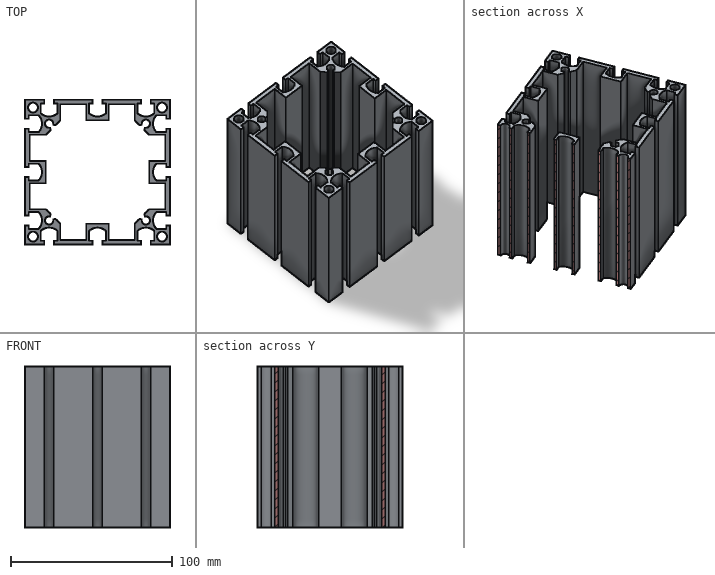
import cadquery as cq
import math

SIDE = 90.0
LENGTH = 100.0
HALF = SIDE / 2

SLOT_PITCH = 30.0
SLOT_OPENING = 6.0
SLOT_WIDTH = 10.3
LIP_THICKNESS = 2.5
SLOT_WALL_DEPTH = 8.5
SLOT_DEPTH = 10.5

SLOT_SIDE_WALL = 1.85
OUTER_WALL = 3.0
CORE_INSET = 13.0

CORNER_BORE_DIAMETER = 6.0
CORNER_BORE_INSET = 5.0
CHANNEL_DIAMETER = 5.0
CHANNEL_INSET = HALF - SLOT_PITCH
CHANNEL_MOUTH_ANGLE = 60.0

CORNER_DIAGONAL_ANGLE = 45.0
SIDE_ANGLES = (0, 90, 180, 270)
SLOT_CENTRES = (-SLOT_PITCH, 0.0, SLOT_PITCH)


def slot_cutter(x_centre):
    """T-slot in the +Y side: narrow mouth, wide chamber and arched floor."""
    mouth = SLOT_OPENING / 2
    chamber = SLOT_WIDTH / 2
    lip_y = HALF - LIP_THICKNESS
    wall_end_y = HALF - SLOT_WALL_DEPTH
    return (
        cq.Workplane("XY")
        .moveTo(x_centre - mouth, HALF)
        .lineTo(x_centre - mouth, lip_y)
        .lineTo(x_centre - chamber, lip_y)
        .lineTo(x_centre - chamber, wall_end_y)
        .threePointArc((x_centre, HALF - SLOT_DEPTH), (x_centre + chamber, wall_end_y))
        .lineTo(x_centre + chamber, lip_y)
        .lineTo(x_centre + mouth, lip_y)
        .lineTo(x_centre + mouth, HALF)
        .close()
        .extrude(LENGTH)
    )


def core_cutter():
    """Central square cavity, bevelled where it meets the corner webs."""
    core_half = HALF - CORE_INSET
    pocket_end = SLOT_PITCH - SLOT_WIDTH / 2 - SLOT_SIDE_WALL
    return (
        cq.Workplane("XY")
        .rect(2 * core_half, 2 * core_half)
        .extrude(LENGTH)
        .edges("|Z")
        .chamfer(core_half - pocket_end)
    )


def pocket_cutter(direction):
    """Cavity pocket behind the +Y wall, between the middle and an outer slot."""
    width = SLOT_PITCH - SLOT_WIDTH - 2 * SLOT_SIDE_WALL
    depth = HALF - OUTER_WALL
    return (
        cq.Workplane("XY")
        .center(direction * SLOT_PITCH / 2, depth / 2)
        .rect(width, depth)
        .extrude(LENGTH)
    )


def bore_cutter(diameter, inset):
    """Round bore on the diagonal of the +X +Y corner."""
    return (
        cq.Workplane("XY")
        .center(HALF - inset, HALF - inset)
        .circle(diameter / 2)
        .extrude(LENGTH)
    )


def channel_mouth_cutter():
    """Wedge from the channel axis, opening along the diagonal into the cavity."""
    reach = CHANNEL_INSET
    half_width = reach * math.tan(math.radians(CHANNEL_MOUTH_ANGLE / 2))
    return (
        cq.Workplane("XY")
        .polyline([(0, 0), (-reach, half_width), (-reach, -half_width)])
        .close()
        .extrude(LENGTH)
        .rotate((0, 0, 0), (0, 0, 1), CORNER_DIAGONAL_ANGLE)
        .translate((HALF - CHANNEL_INSET, HALF - CHANNEL_INSET, 0))
    )


def quarter_cutters():
    """Cutters for the +Y side and the +X +Y corner."""
    cutters = [slot_cutter(x_centre) for x_centre in SLOT_CENTRES]
    cutters += [pocket_cutter(direction) for direction in (-1, 1)]
    cutters.append(bore_cutter(CORNER_BORE_DIAMETER, CORNER_BORE_INSET))
    cutters.append(bore_cutter(CHANNEL_DIAMETER, CHANNEL_INSET))
    cutters.append(channel_mouth_cutter())
    return cutters


def build_profile():
    profile = cq.Workplane("XY").rect(SIDE, SIDE).extrude(LENGTH).cut(core_cutter())
    for cutter in quarter_cutters():
        for angle in SIDE_ANGLES:
            profile = profile.cut(cutter.rotate((0, 0, 0), (0, 0, 1), angle))
    return profile


result = build_profile()